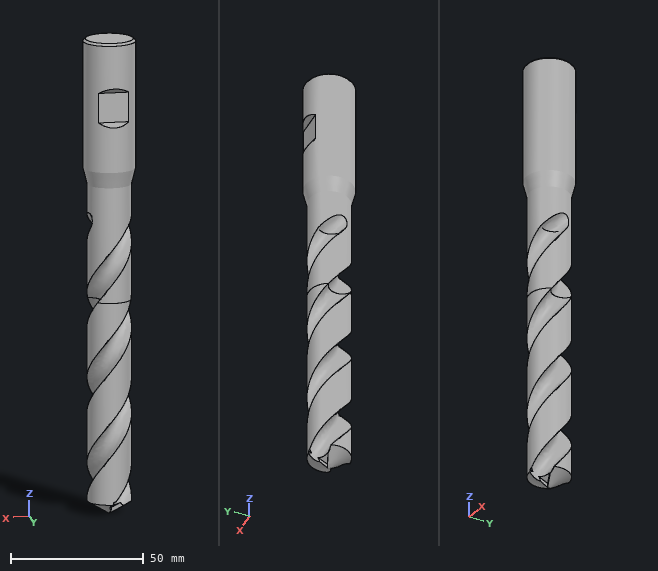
import cadquery as cq
import math

length = 184.0
shank_diameter = 20.0
shank_radius = shank_diameter / 2
drill_diameter = 17.0
drill_radius = drill_diameter / 2

point_angle = 118.0
point_height = drill_radius / math.tan(math.radians(point_angle / 2))
joint_z = 83.2
flute_end_z = 111.0
cone_bottom_z = 127.7
shank_bottom_z = 134.0
shank_chamfer = 1.0

flat_depth = 1.8
flat_length = 11.5
flat_centre_z = length - 25.0

flute_count = 2
flute_pitch = 66.0
flute_radius = 5.3
flute_centre_radius = 8.8
flute_end_angle = 162.0
runout_length = 22.0
runout_outward_slope = 0.5
runout_tangent_slope = 1.1

notch_web_y = 0.7
notch_valley_z = 2.2
notch_roof_slope = 0.5
notch_reach_y = 9.2
notch_run_x = 5.7
notch_run_y = -2.2
notch_run_z = 3.5

cutter_overrun = 1.8


def helical_flute(end_angle, bottom_z, top_z):
    """Flute between two heights, phased to reach end_angle at the flute end plane."""
    bottom_angle = end_angle - 360.0 * (flute_end_z - bottom_z) / flute_pitch
    a = math.radians(bottom_angle)
    centre = (flute_centre_radius * math.cos(a), flute_centre_radius * math.sin(a))
    height = top_z - bottom_z
    return (
        cq.Workplane("XY", origin=(0, 0, bottom_z))
        .pushPoints([centre])
        .circle(flute_radius)
        .twistExtrude(height, 360.0 * height / flute_pitch)
    )


def flute_runout(end_angle):
    """Straight continuation along the flute, sloping outward through the side."""
    direction = cq.Vector(runout_outward_slope, runout_tangent_slope, 1).normalized()
    profile = cq.Wire.makeCircle(
        flute_radius, cq.Vector(flute_centre_radius, 0, flute_end_z), cq.Vector(0, 0, 1)
    )
    runout = cq.Solid.extrudeLinear(profile, [], direction * runout_length)
    return cq.Workplane(runout).rotate((0, 0, 0), (0, 0, 1), end_angle)


def flute_end_angles():
    return [flute_end_angle + index * 360.0 / flute_count for index in range(flute_count)]


def clamping_flat():
    """Trapezoidal cutter that leaves the flat and its sloping ends."""
    floor_y = shank_radius - flat_depth
    half_floor = flat_length / 2
    half_mouth = half_floor + flat_depth
    return (
        cq.Workplane("YZ")
        .moveTo(floor_y, flat_centre_z - half_floor)
        .lineTo(shank_radius, flat_centre_z - half_mouth)
        .lineTo(shank_radius, flat_centre_z + half_mouth)
        .lineTo(floor_y, flat_centre_z + half_floor)
        .close()
        .extrude(shank_radius, both=True)
    )


def thinning_notch(turn):
    """Wedge with an upright inner wall and a sloping roof, turned about the drill axis."""
    mouth_width = notch_reach_y - notch_web_y
    bottom_z = notch_valley_z - notch_run_z - cutter_overrun
    section = cq.Wire.makePolygon([
        cq.Vector(0, -notch_web_y, bottom_z),
        cq.Vector(0, -notch_web_y, notch_valley_z),
        cq.Vector(0, -notch_reach_y, notch_valley_z + mouth_width * notch_roof_slope),
        cq.Vector(0, -notch_reach_y, bottom_z),
    ], close=True)
    run = cq.Vector(notch_run_x, notch_run_y, notch_run_z)
    wedge = cq.Solid.extrudeLinear(section, [], run)
    return cq.Workplane(wedge).rotate((0, 0, 0), (0, 0, 1), turn)


def make_shank():
    """Clamping shank, tapered neck and the upper part of the flutes."""
    body = (
        cq.Workplane("XZ")
        .moveTo(0, joint_z)
        .lineTo(drill_radius, joint_z)
        .lineTo(drill_radius, cone_bottom_z)
        .lineTo(shank_radius, shank_bottom_z)
        .lineTo(shank_radius, length - shank_chamfer)
        .lineTo(shank_radius - shank_chamfer, length)
        .lineTo(0, length)
        .close()
        .revolve(360, (0, 0, 0), (0, 1, 0))
    )
    body = body.cut(clamping_flat())
    for angle in flute_end_angles():
        body = body.cut(helical_flute(angle, joint_z - cutter_overrun, flute_end_z))
        body = body.cut(flute_runout(angle))
    return body


def make_cutting_head():
    """Fluted lower body with the conical point."""
    body = (
        cq.Workplane("XZ")
        .moveTo(0, 0)
        .lineTo(drill_radius, point_height)
        .lineTo(drill_radius, joint_z)
        .lineTo(0, joint_z)
        .close()
        .revolve(360, (0, 0, 0), (0, 1, 0))
    )
    for angle in flute_end_angles():
        body = body.cut(helical_flute(angle, -cutter_overrun, joint_z + cutter_overrun))
        body = body.cut(thinning_notch(angle - flute_end_angle))
    return body


shank = make_shank()
cutting_head = make_cutting_head()

result = cq.Compound.makeCompound([shank.val(), cutting_head.val()])